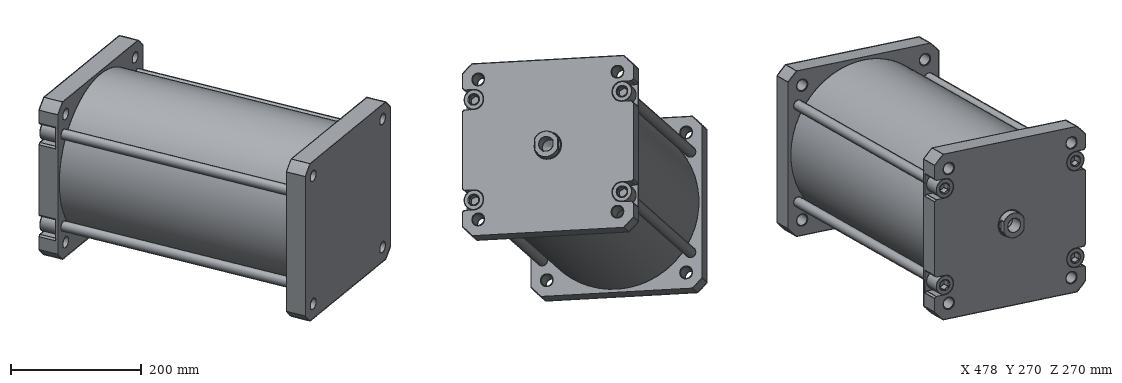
import cadquery as cq
import math

TOTAL_LENGTH = 478.0
ROD_PROJECTION = 12.0
PLATE_THICKNESS = 33.0
FRONT_FACE_X = ROD_PROJECTION
TUBE_START_X = FRONT_FACE_X + PLATE_THICKNESS
TUBE_END_X = TOTAL_LENGTH - PLATE_THICKNESS

CHAMFER_CONE_ANGLE = 90.0

PLATE_SIDE = 270.0
CORNER_TURNING_DIAMETER = 361.0
MOUNT_HOLE_OFFSET = 110.0
MOUNT_HOLE_DIAMETER = 18.0
MOUNT_HOLE_CHAMFER = 1.0

TUBE_DIAMETER = 260.5

BOLT_Y = 117.0
BOLT_Z = 79.0
SHANK_DIAMETER = 16.3
HEAD_DIAMETER = 30.0
HEAD_LENGTH = 28.5
HEAD_SEAT_X = FRONT_FACE_X + HEAD_LENGTH
SOCKET_ACROSS_FLATS = 14.5
SOCKET_LEAD_IN_DIAMETER = 18.0
SOCKET_DEPTH = 14.5
SOCKET_ROTATION = 30.0

POCKET_WIDTH = 31.5
POCKET_EDGE_CHAMFER = 3.0

ROD_DIAMETER = 40.0
ROD_BORE_CHAMFER = 1.5
FLAT_WIDTH = 36.0
FLAT_LENGTH = 9.0
ROD_HOLE_DIAMETER = 23.0
ROD_HOLE_DEPTH = 24.0
DRILL_TIP_ANGLE = 118.0

BOLT_POSITIONS = [(y, z) for y in (-BOLT_Y, BOLT_Y) for z in (-BOLT_Z, BOLT_Z)]


def plane_at(x):
    """Workplane normal to +X at the given x, with local axes along Y and Z."""
    return cq.Workplane("YZ", origin=(x, 0, 0))


def plain_plate(start_x):
    """Square end plate with turned corners and four chamfered mounting holes."""
    hole_pitch = 2 * MOUNT_HOLE_OFFSET
    chamfer_diameter = MOUNT_HOLE_DIAMETER + 2 * MOUNT_HOLE_CHAMFER
    turned_blank = plane_at(start_x).circle(CORNER_TURNING_DIAMETER / 2).extrude(PLATE_THICKNESS)
    return (
        plane_at(start_x)
        .rect(PLATE_SIDE, PLATE_SIDE)
        .extrude(PLATE_THICKNESS)
        .intersect(turned_blank)
        .faces("<X")
        .workplane(origin=(start_x, 0, 0))
        .rect(hole_pitch, hole_pitch, forConstruction=True)
        .vertices()
        .cskHole(MOUNT_HOLE_DIAMETER, chamfer_diameter, CHAMFER_CONE_ANGLE)
    )


def head_pocket(y, z):
    """Round-ended pocket that opens through the nearest Y side with flared edges."""
    outward = math.copysign(1, y)
    side_y = outward * PLATE_SIDE / 2
    flare_y = side_y - outward * POCKET_EDGE_CHAMFER
    half_width = POCKET_WIDTH / 2
    half_mouth = half_width + POCKET_EDGE_CHAMFER
    return (
        plane_at(FRONT_FACE_X)
        .moveTo(y, z + half_width)
        .lineTo(flare_y, z + half_width)
        .lineTo(side_y, z + half_mouth)
        .lineTo(side_y, z - half_mouth)
        .lineTo(flare_y, z - half_width)
        .lineTo(y, z - half_width)
        .threePointArc((y - outward * half_width, z), (y, z + half_width))
        .close()
        .extrude(HEAD_LENGTH)
    )


def make_front_plate():
    """End plate with the bolt pockets, bolt holes and the piston rod bore."""
    bolt_holes = (
        plane_at(FRONT_FACE_X)
        .pushPoints(BOLT_POSITIONS)
        .circle(SHANK_DIAMETER / 2)
        .extrude(PLATE_THICKNESS)
    )
    plate = (
        plain_plate(FRONT_FACE_X)
        .cut(bolt_holes)
        .faces("<X")
        .workplane(origin=(FRONT_FACE_X, 0, 0))
        .cskHole(ROD_DIAMETER, ROD_DIAMETER + 2 * ROD_BORE_CHAMFER, CHAMFER_CONE_ANGLE)
    )
    for y, z in BOLT_POSITIONS:
        plate = plate.cut(head_pocket(y, z))
    return plate


def make_tube():
    """Cylindrical body clamped between the end plates."""
    return plane_at(TUBE_START_X).circle(TUBE_DIAMETER / 2).extrude(TUBE_END_X - TUBE_START_X)


def make_tie_bolt(y, z):
    """Socket-head bolt, its head flush with the front plate and its shank reaching the rear plate."""
    across_corners = SOCKET_ACROSS_FLATS / math.cos(math.pi / 6)
    head = plane_at(FRONT_FACE_X).center(y, z).circle(HEAD_DIAMETER / 2).extrude(HEAD_LENGTH)
    shank = (
        plane_at(HEAD_SEAT_X)
        .center(y, z)
        .circle(SHANK_DIAMETER / 2)
        .extrude(TUBE_END_X - HEAD_SEAT_X)
    )
    socket = (
        plane_at(FRONT_FACE_X)
        .center(y, z)
        .transformed(rotate=(0, 0, SOCKET_ROTATION))
        .polygon(6, across_corners)
        .extrude(SOCKET_DEPTH)
    )
    lead_in_radius = SOCKET_LEAD_IN_DIAMETER / 2
    lead_in = cq.Solid.makeCone(
        lead_in_radius,
        0,
        lead_in_radius,
        cq.Vector(FRONT_FACE_X, y, z),
        cq.Vector(1, 0, 0),
    )
    return head.union(shank).cut(socket).cut(lead_in)


def make_piston_rod():
    """Piston rod with two wrench flats that run out at 45 degrees and a drilled hole with a conical bottom."""
    rod = plane_at(0).circle(ROD_DIAMETER / 2).extrude(TUBE_START_X)
    half_flat = FLAT_WIDTH / 2
    half_rod = ROD_DIAMETER / 2
    runout_end_x = FLAT_LENGTH + half_rod - half_flat
    flatted_profile = (
        cq.Workplane("XY")
        .polyline(
            [
                (0, -half_flat),
                (FLAT_LENGTH, -half_flat),
                (runout_end_x, -half_rod),
                (TUBE_START_X, -half_rod),
                (TUBE_START_X, half_rod),
                (runout_end_x, half_rod),
                (FLAT_LENGTH, half_flat),
                (0, half_flat),
            ]
        )
        .close()
        .extrude(half_rod, both=True)
    )

    hole_radius = ROD_HOLE_DIAMETER / 2
    tip_length = hole_radius / math.tan(math.radians(DRILL_TIP_ANGLE / 2))
    drilled_hole = (
        cq.Workplane("XZ")
        .polyline(
            [
                (0, 0),
                (0, hole_radius),
                (ROD_HOLE_DEPTH, hole_radius),
                (ROD_HOLE_DEPTH + tip_length, 0),
            ]
        )
        .close()
        .revolve(360, (0, 0, 0), (1, 0, 0))
    )
    return rod.intersect(flatted_profile).cut(drilled_hole)


front_plate = make_front_plate()
rear_plate = plain_plate(TUBE_END_X)
tube = make_tube()
piston_rod = make_piston_rod()
tie_bolts = [make_tie_bolt(y, z) for y, z in BOLT_POSITIONS]

result = cq.Compound.makeCompound(
    [
        front_plate.val(),
        rear_plate.val(),
        tube.val(),
        piston_rod.val(),
        *[bolt.val() for bolt in tie_bolts],
    ]
)